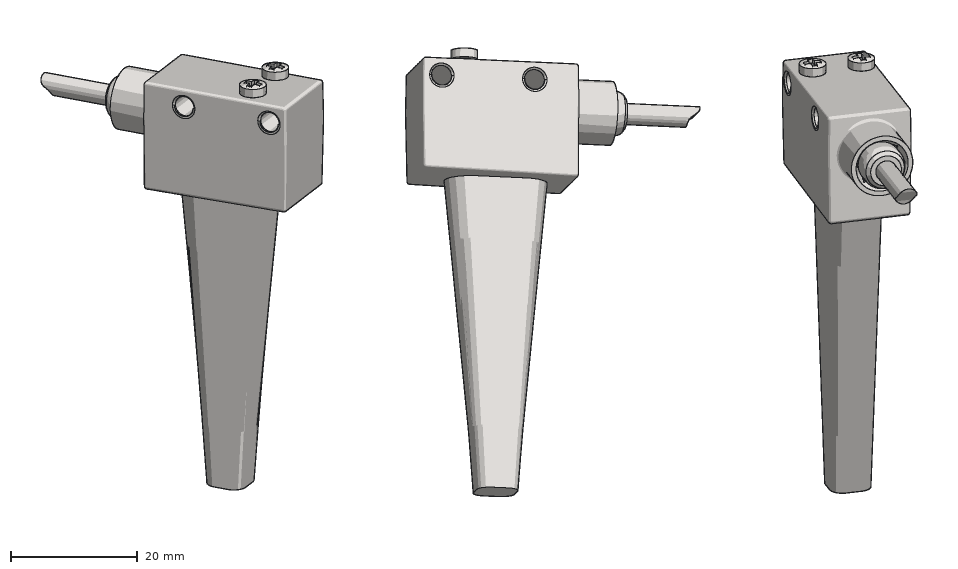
import cadquery as cq
import math

leg_height = 50.0
leg_band_heights = [0.2, 0.8]
foot_half_x = 3.3
foot_half_y = 3.4
foot_corner_radius = 2.1
top_half_x = 8.25
top_half_y = 4.2

draft = math.tan(math.radians(1))
parting_z = 62.0
head_left = -12.05
head_right = 13.2
head_width = 13.9
head_half_y = head_width / 2
head_top = 68.3
head_bottom = leg_height
edge_radius = 0.5
hole_xs = [-4.85, 10.15]
hole_z = 65.45
hole_radius = 1.6
hole_chamfer = 0.35

screw_x = 5.9
screw_half_spacing = 4.0
screw_head_radius = 2.1
screw_neck_radius = 1.1
screw_head_bottom = 68.75
screw_rim_z = 70.15
screw_top = 70.45
cross_length = 2.75
cross_width = 0.85
cross_depth = 0.8

collar_front = -18.7
collar_radius = 5.1
mouth_radius = 4.3
mouth_depth = 1.4
star_tip_radius = 3.95
gland_front = -20.8
gland_radius = 3.5
gland_face_radius = 2.55
gland_shoulder_radius = 3.2
gland_cone_length = 0.5
gland_nose_length = 1.5
gland_nose_radius = 1.6
cable_tip = -32.8
cable_radius = 1.7
cable_cut_length = 2.1


def quarter_section(fraction):
    """Flat end, corner middle, corner end and side middle of the +X +Y quarter of the leg."""
    diagonal = math.sqrt(0.5)
    foot_x = foot_half_x - foot_corner_radius
    foot_y = foot_half_y - foot_corner_radius
    foot = [
        (foot_x, foot_half_y),
        (foot_x + foot_corner_radius * diagonal, foot_y + foot_corner_radius * diagonal),
        (foot_half_x, foot_y),
        (foot_half_x, 0),
    ]
    top_x = top_half_x - top_half_y
    top = [
        (top_x + top_half_y * math.cos(math.radians(angle)),
         top_half_y * math.sin(math.radians(angle)))
        for angle in (90, 67.5, 45, 0)
    ]
    return [
        (fx + (tx - fx) * fraction, fy + (ty - fy) * fraction)
        for (fx, fy), (tx, ty) in zip(foot, top)
    ]


def leg_section(fraction):
    """Closed outline of the leg: two flats, four corners and two ends."""
    z = leg_height * fraction
    (flat_x, flat_y), (mid_x, mid_y), (end_x, end_y), (side_x, _) = quarter_section(fraction)

    def point(x, y):
        return cq.Vector(x, y, z)

    def corner(sx, sy):
        return cq.Edge.makeThreePointArc(
            point(sx * flat_x, sy * flat_y), point(sx * mid_x, sy * mid_y), point(sx * end_x, sy * end_y)
        )

    def end(sx):
        if fraction == 0:
            return cq.Edge.makeLine(point(sx * end_x, end_y), point(sx * end_x, -end_y))
        return cq.Edge.makeThreePointArc(
            point(sx * end_x, end_y), point(sx * side_x, 0), point(sx * end_x, -end_y)
        )

    def flat(sy):
        return cq.Edge.makeLine(point(-flat_x, sy * flat_y), point(flat_x, sy * flat_y))

    edges = [flat(1), corner(1, 1), end(1), corner(1, -1), flat(-1), corner(-1, -1), end(-1), corner(-1, 1)]
    return cq.Wire.assembleEdges(edges)


def make_leg():
    """Ruled taper from a rounded rectangular foot to an obround top."""
    fractions = [0, *leg_band_heights, 1]
    return cq.Workplane(cq.Solid.makeLoft([leg_section(f) for f in fractions], True))


def drafted_half(height):
    """Half of the head block, from the parting plane up (or down, if negative)."""
    inset = abs(height) * draft
    length = head_right - head_left
    middle = (head_left + head_right) / 2
    return (
        cq.Workplane("XY", origin=(middle, 0, parting_z))
        .rect(length, 2 * head_half_y)
        .workplane(offset=height)
        .center(-inset / 2, 0)
        .rect(length - inset, 2 * (head_half_y - inset))
        .loft(ruled=True, combine=True)
    )


def make_block():
    """Rounded, drafted block whose underside slopes at the draft angle."""
    block = drafted_half(head_top - parting_z).union(drafted_half(head_bottom - parting_z))
    length = head_right - head_left
    underside = (
        cq.Workplane("XZ")
        .polyline([
            (head_left, head_bottom),
            (head_right, head_bottom),
            (head_right, head_bottom + length * draft),
        ])
        .close()
        .extrude(head_half_y, both=True)
    )
    block = block.cut(underside)
    def off_parting_plane(edge):
        return abs(edge.Center().z - parting_z) > edge_radius

    return block.edges().filter(off_parting_plane).fillet(edge_radius)


def mounting_hole(x):
    """Through hole along Y, chamfered at both faces."""
    face_y = head_half_y - (hole_z - parting_z) * draft
    rim_radius = hole_radius + hole_chamfer
    hole = cq.Solid.makeCylinder(
        hole_radius, 2 * head_half_y, cq.Vector(x, -head_half_y, hole_z), cq.Vector(0, 1, 0)
    )
    tool = cq.Workplane(hole)
    for side in (-1, 1):
        chamfer = cq.Solid.makeCone(
            rim_radius, hole_radius, hole_chamfer,
            cq.Vector(x, side * face_y, hole_z), cq.Vector(0, -side, 0),
        )
        tool = tool.union(cq.Workplane(chamfer))
    return tool


def screw(y):
    """Domed cross-head screw standing on a short neck."""
    crest_radius = cross_width * math.sqrt(0.5)
    dome_center_z = (
        (screw_top**2 + crest_radius**2 - screw_rim_z**2 - screw_head_radius**2)
        / (2 * (screw_top - screw_rim_z))
    )
    dome_radius = math.hypot(screw_head_radius, screw_rim_z - dome_center_z)
    body = (
        cq.Workplane("XZ")
        .moveTo(0, head_top)
        .lineTo(screw_neck_radius, head_top)
        .lineTo(screw_neck_radius, screw_head_bottom)
        .lineTo(screw_head_radius, screw_head_bottom)
        .lineTo(screw_head_radius, screw_rim_z)
        .radiusArc((0, dome_center_z + dome_radius), -dome_radius)
        .close()
        .revolve(360, (0, 0, 0), (0, 1, 0))
    )
    recess = cq.Workplane("XY", origin=(0, 0, screw_top - cross_depth))
    cross = recess.rect(cross_length, cross_width).extrude(2 * cross_depth)
    cross = cross.union(recess.rect(cross_width, cross_length).extrude(2 * cross_depth))
    return body.cut(cross).translate((screw_x, y, 0))


def turned(outline):
    """Solid made by closing an outline and revolving it about the cable axis."""
    return outline.close().revolve(360, (0, 0, 0), (1, 0, 0))


def cable_axis():
    """Sketch plane whose X axis is the cable axis."""
    return cq.Workplane("XZ", origin=(0, 0, parting_z))


def make_collar():
    """Round collar on the -X face, with a fillet at its root and a funnel mouth."""
    collar = turned(
        cable_axis()
        .moveTo(head_left, 0)
        .lineTo(collar_front, 0)
        .lineTo(collar_front, collar_radius)
        .lineTo(head_left - edge_radius, collar_radius)
        .radiusArc((head_left, collar_radius + edge_radius), -edge_radius)
    )
    mouth_floor = collar_front + mouth_depth
    funnel = turned(
        cable_axis()
        .moveTo(mouth_floor, 0)
        .lineTo(collar_front, 0)
        .lineTo(collar_front, mouth_radius)
        .lineTo(mouth_floor, gland_radius)
    )
    collar = collar.cut(funnel)
    for turn in (0, 45):
        square = (
            cq.Workplane("YZ", origin=(collar_front, 0, parting_z))
            .transformed(rotate=(0, 0, turn))
            .polygon(4, 2 * star_tip_radius)
            .extrude(mouth_depth)
        )
        collar = collar.cut(square)
    return collar


def make_gland():
    """Rounded nose that holds the cable in the collar."""
    shoulder_x = gland_front + gland_cone_length
    nose_end = gland_front + gland_nose_length
    return turned(
        cable_axis()
        .moveTo(head_left, 0)
        .lineTo(gland_front, 0)
        .lineTo(gland_front, gland_face_radius)
        .lineTo(shoulder_x, gland_shoulder_radius)
        .radiusArc((nose_end, gland_radius), gland_nose_radius)
        .lineTo(head_left, gland_radius)
    )


def make_cable():
    """Cable whose free end is cut along an S made of two equal arcs."""
    middle_x = cable_tip + cable_cut_length / 2
    low_x = cable_tip + cable_cut_length
    arc_radius = (cable_radius**2 + (cable_cut_length / 2) ** 2) / cable_cut_length
    side_shape = (
        cable_axis()
        .moveTo(gland_front, cable_radius)
        .lineTo(cable_tip, cable_radius)
        .radiusArc((middle_x, 0), -arc_radius)
        .radiusArc((low_x, -cable_radius), arc_radius)
        .lineTo(gland_front, -cable_radius)
        .close()
        .extrude(cable_radius, both=True)
    )
    rod = (
        cq.Workplane("YZ", origin=(cable_tip, 0, parting_z))
        .circle(cable_radius)
        .extrude(gland_front - cable_tip)
    )
    return rod.intersect(side_shape)


def make_head():
    """Block with its holes, screws and cable outlet as one solid."""
    head = make_block()
    for x in hole_xs:
        head = head.cut(mounting_hole(x))
    for side in (-1, 1):
        head = head.union(screw(side * screw_half_spacing))
    return head.union(make_collar()).union(make_gland()).union(make_cable()).solids()


leg = make_leg()
head = make_head()

result = cq.Compound.makeCompound([head.val(), leg.val()])